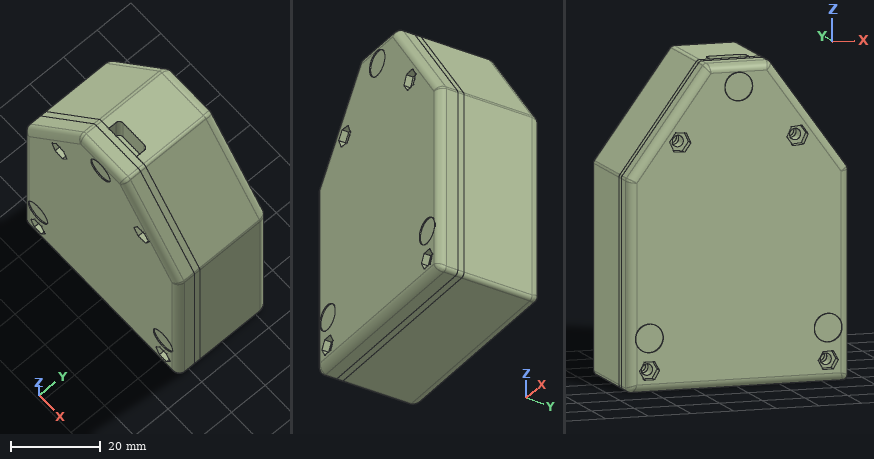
import cadquery as cq

width = 51.8
height = 73.5
top_width = 15.1
shoulder_height = 48.3
corner_radius = 1.0

depth = 27.0
cover_thickness = 5.0
board_thickness = 1.6
housing_thickness = depth - cover_thickness - board_thickness
board_front = cover_thickness
housing_front = board_front + board_thickness
front_edge_radius = 2.0
back_edge_radius = 2.5

screw_hole_diameter = 2.6
lower_nut_across_corners = 4.7
upper_nut_across_corners = 5.0
nut_pocket_depth = 1.8
lower_screw_x = 20.95
lower_screw_z = 5.0
upper_screw_x = 13.75
upper_screw_z = 56.3
upper_nut_tilt = 5.0

foot_diameter = 6.5
foot_recess_depth = 0.3
lower_foot_x = lower_screw_x
lower_foot_z = 12.35
upper_foot_z = 68.1

slot_width = 9.25
slot_height = 3.2
slot_depth = 7.35
slot_corner_radius = 1.0

screw_points = [
    (side * x, z)
    for side in (-1, 1)
    for x, z in ((lower_screw_x, lower_screw_z), (upper_screw_x, upper_screw_z))
]
foot_points = [(-lower_foot_x, lower_foot_z), (lower_foot_x, lower_foot_z), (0, upper_foot_z)]


def plane_at(y):
    """XZ plane at the given depth; extruding from it goes toward +Y with a negative length."""
    return cq.Workplane("XZ", origin=(0, y, 0))


def case_layer(front, thickness):
    """One slice of the case: a house-shaped plate with rounded corners."""
    outline = [
        (-width / 2, 0),
        (width / 2, 0),
        (width / 2, shoulder_height),
        (top_width / 2, height),
        (-top_width / 2, height),
        (-width / 2, shoulder_height),
    ]
    plate = plane_at(front).polyline(outline).close().extrude(-thickness)
    return plate.edges("|Y").fillet(corner_radius)


def drill_screw_holes(body):
    """Cut the four screw holes, which run the full depth of the case."""
    holes = plane_at(0).pushPoints(screw_points).circle(screw_hole_diameter / 2).extrude(-depth)
    return body.cut(holes)


def nut_pocket(x, z, across_corners, tilt):
    """Hexagonal prism sunk into the front face, turned by tilt degrees about its own axis."""
    pocket = plane_at(0).center(x, z).polygon(6, across_corners).extrude(-nut_pocket_depth)
    return pocket.rotate((x, 0, z), (x, 1, z), tilt)


def make_cover():
    """Front cover with a rounded rim, nut pockets and shallow foot recesses."""
    cover = case_layer(0, cover_thickness)
    cover = cover.faces("<Y").edges().fillet(front_edge_radius)
    cover = drill_screw_holes(cover)
    for side in (-1, 1):
        cover = cover.cut(nut_pocket(side * lower_screw_x, lower_screw_z, lower_nut_across_corners, 0))
        tilt = -side * upper_nut_tilt
        cover = cover.cut(nut_pocket(side * upper_screw_x, upper_screw_z, upper_nut_across_corners, tilt))
    feet = plane_at(0).pushPoints(foot_points).circle(foot_diameter / 2).extrude(-foot_recess_depth)
    return cover.cut(feet)


def make_board():
    """Flat plate clamped between the cover and the housing."""
    return drill_screw_holes(case_layer(board_front, board_thickness))


def make_housing():
    """Rear block with a rounded rim and a connector slot beside the board."""
    housing = case_layer(housing_front, housing_thickness)
    housing = housing.faces(">Y").edges().fillet(back_edge_radius)
    housing = drill_screw_holes(housing)
    slot = (
        cq.Workplane("XY")
        .box(slot_width, slot_height, slot_depth, centered=(True, False, False))
        .edges("|Z and >Y")
        .fillet(slot_corner_radius)
        .translate((0, housing_front, height - slot_depth))
    )
    return housing.cut(slot)


cover = make_cover()
board = make_board()
housing = make_housing()

result = cq.Compound.makeCompound([cover.val(), board.val(), housing.val()])